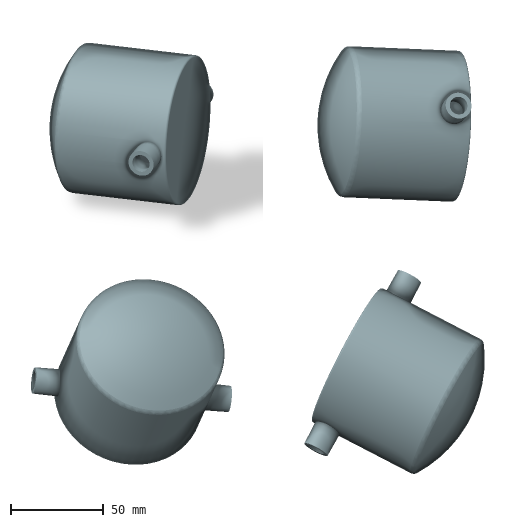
import cadquery as cq
import math

body_diameter = 81.5
body_length = 75.0
dome_radius = 69.9
dome_edge_fillet = 3.0
flat_end_fillet = 1.0

stub_span = 107.6
stub_from_flat_end = 9.8
stub_tip_radius = 7.1
stub_taper = 1.0
bore_radius = 4.8

body_radius = body_diameter / 2
dome_height = dome_radius - math.sqrt(dome_radius**2 - body_radius**2)
stub_x = body_length - stub_from_flat_end
stub_tip = stub_span / 2
bore_depth = stub_tip - body_radius
stub_root_radius = stub_tip_radius + stub_tip * math.tan(math.radians(stub_taper))


def make_body():
    half_radius = body_radius / 2
    dome_mid_x = dome_radius - math.sqrt(dome_radius**2 - half_radius**2)
    profile = (
        cq.Workplane("XY")
        .threePointArc((dome_mid_x, half_radius), (dome_height, body_radius))
        .lineTo(body_length, body_radius)
        .lineTo(body_length, 0)
        .close()
    )
    body = profile.revolve(360, (0, 0, 0), (1, 0, 0))
    body = body.faces(">X").edges().fillet(flat_end_fillet)
    return body.faces("%CYLINDER").edges("%CIRCLE").edges("<X").fillet(dome_edge_fillet)


def make_stub(side):
    """Solid stub from the body axis to its tip; side is +1 or -1 along Y."""
    return cq.Workplane(cq.Solid.makeCone(
        stub_root_radius, stub_tip_radius, stub_tip,
        cq.Vector(stub_x, 0, 0), cq.Vector(0, side, 0)))


def make_bore(side):
    """Blind bore from the stub tip down to the body surface."""
    return cq.Workplane(cq.Solid.makeCylinder(
        bore_radius, bore_depth,
        cq.Vector(stub_x, side * stub_tip, 0), cq.Vector(0, -side, 0)))


result = make_body()
for side in (-1, 1):
    result = result.union(make_stub(side)).cut(make_bore(side))